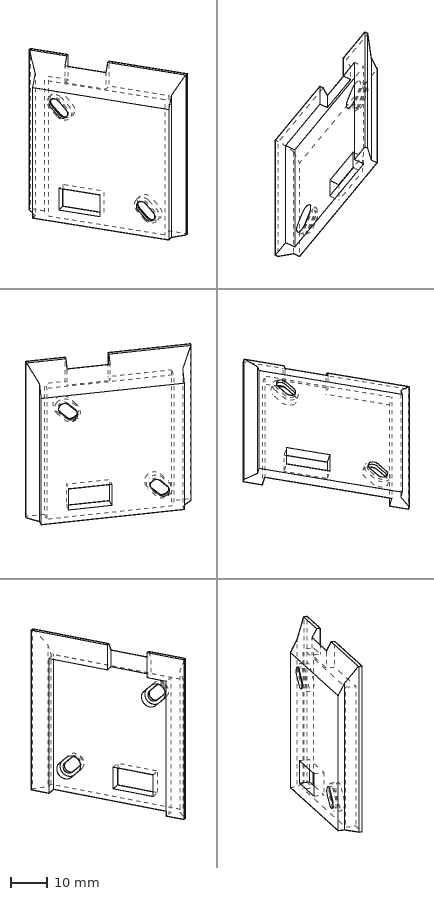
import cadquery as cq

width = 46.9
height = 48.2
depth = 6.0

lip_thickness = 0.9
top_edge_thickness = 1.05
side_inset = 3.15
top_slope_height = 8.9

front_wall = 3.0
cavity_width = 36.0
cavity_height = 40.7

channel_left = 11.35
channel_width = 12.2
channel_depth = 2.4

window_left = 10.95
window_bottom = 3.7
window_width = 12.25
window_height = 6.5

slot_centers = [(10.8, 34.25), (36.85, 7.5)]
slot_width = 3.25
slot_center_distance = 3.15
slot_angle = -45
slot_web = 0.9
recess_width = 5.1


def box(left, bottom, size_x, size_z, front, back):
    """Block given by its lower left corner, size and front and back positions in y."""
    return cq.Workplane("XY").box(size_x, back - front, size_z, centered=False).translate(
        (left, front, bottom)
    )


def make_body():
    step_y = -lip_thickness - side_inset
    plan = (
        cq.Workplane("XY")
        .polyline([
            (0, 0),
            (0, -lip_thickness),
            (side_inset, step_y),
            (side_inset, -depth),
            (width - side_inset, -depth),
            (width - side_inset, step_y),
            (width, -lip_thickness),
            (width, 0),
        ])
        .close()
        .extrude(height)
    )
    side_profile = (
        cq.Workplane("YZ")
        .polyline([
            (0, 0),
            (-depth, 0),
            (-depth, height - top_slope_height),
            (-top_edge_thickness, height),
            (0, height),
        ])
        .close()
        .extrude(width)
    )
    return plan.intersect(side_profile)


def diagonal_slot(center, slot_size, front, back):
    """Round-ended slot running along y from front to back."""
    x, z = center
    return (
        cq.Workplane("XZ", origin=(x, back, z))
        .slot2D(slot_center_distance + slot_size, slot_size, slot_angle)
        .extrude(back - front)
    )


cavity_front = front_wall - depth
cavity = box((width - cavity_width) / 2, 0, cavity_width, cavity_height, cavity_front, 0)
channel = box(channel_left, 0, channel_width, height, -channel_depth, 0)
window = box(window_left, window_bottom, window_width, window_height, -depth, 0)

result = make_body().cut(cavity).cut(channel).cut(window)
for slot_center in slot_centers:
    result = result.cut(diagonal_slot(slot_center, slot_width, -depth, 0))
    result = result.cut(diagonal_slot(slot_center, recess_width, slot_web - depth, cavity_front))